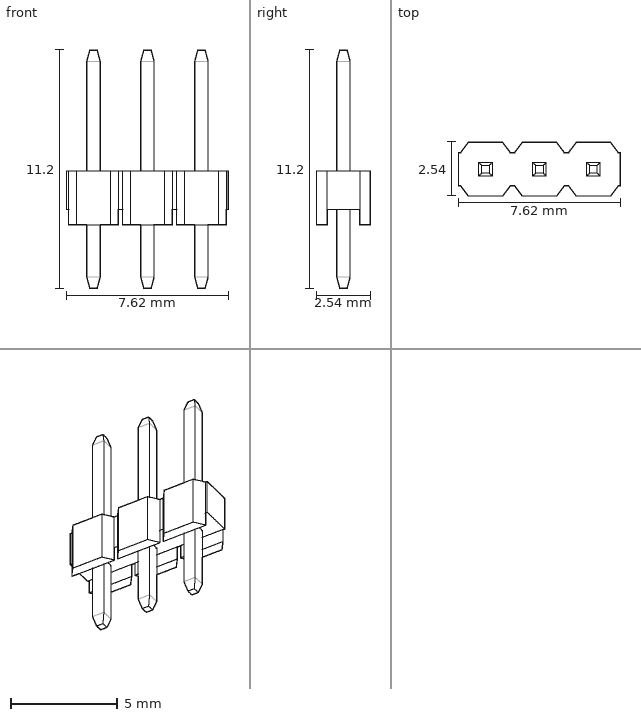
import cadquery as cq

pin_count = 3
body_length = 7.62
pitch = body_length / pin_count
total_height = 11.2

body_depth = 2.54
body_height = 2.54
cell_width = 2.35
cell_flat = 1.61
neck_depth = 1.56
channel_depth = 1.5
channel_height = 0.72

pin_width = 0.64
tip_width = 0.36
tip_length = 0.53
pin_below_body = 2.98

pin_bottom = -pin_below_body
shank_length = total_height - 2 * tip_length
pin_positions = [((i - (pin_count - 1) / 2) * pitch, 0) for i in range(pin_count)]


def make_cell():
    """Full-height block with its four vertical corners cut off."""
    half_width = cell_width / 2
    half_flat = cell_flat / 2
    half_depth = body_depth / 2
    half_neck = neck_depth / 2
    outline = [
        (half_width, half_neck),
        (half_flat, half_depth),
        (-half_flat, half_depth),
        (-half_width, half_neck),
        (-half_width, -half_neck),
        (-half_flat, -half_depth),
        (half_flat, -half_depth),
        (half_width, -half_neck),
    ]
    return cq.Workplane("XY").polyline(outline).close().extrude(body_height)


def make_body():
    """Cells joined by a raised web, with a channel along the underside."""
    web_height = body_height - channel_height
    body = (
        cq.Workplane("XY", origin=(0, 0, channel_height))
        .rect(body_length, neck_depth)
        .extrude(web_height)
    )
    cell = make_cell()
    for x, y in pin_positions:
        body = body.union(cell.translate((x, y, 0)))
    channel = cq.Workplane("XY").rect(body_length, channel_depth).extrude(channel_height)
    return body.cut(channel)


def make_tip(base_z, direction):
    """Tapered pin end that starts at base_z and points up (1) or down (-1)."""
    return (
        cq.Workplane("XY", origin=(0, 0, base_z))
        .rect(pin_width, pin_width)
        .workplane(offset=direction * tip_length)
        .rect(tip_width, tip_width)
        .loft(ruled=True)
    )


def make_pin():
    """Square shank with a tapered tip at each end."""
    shank_bottom = pin_bottom + tip_length
    shank_top = shank_bottom + shank_length
    shank = (
        cq.Workplane("XY", origin=(0, 0, shank_bottom))
        .rect(pin_width, pin_width)
        .extrude(shank_length)
    )
    return shank.union(make_tip(shank_top, 1)).union(make_tip(shank_bottom, -1))


result = make_body()
pin = make_pin()
for pin_x, pin_y in pin_positions:
    result = result.union(pin.translate((pin_x, pin_y, 0)))